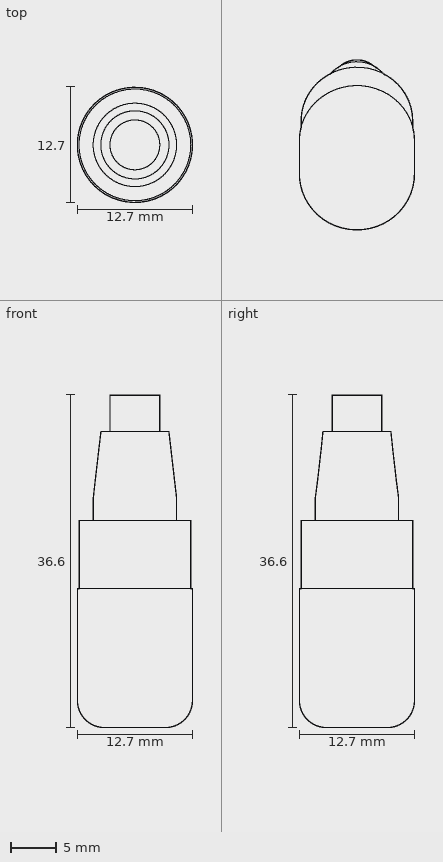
import cadquery as cq

CAP_TOP = 15.3
SHOULDER_TOP = 22.8
COLLAR_TOP = 25.33
TAPER_TOP = 32.6
TOTAL_HEIGHT = 36.6

CAP_RADIUS = 12.7 / 2
SHOULDER_RADIUS = 12.3 / 2
COLLAR_RADIUS = 9.2 / 2
TAPER_TOP_RADIUS = 7.5 / 2
STEM_RADIUS = 5.5 / 2

END_FILLET = 3.0


def make_cap():
    """Cylindrical cap with a rounded bottom end."""
    return cq.Workplane("XY").circle(CAP_RADIUS).extrude(CAP_TOP).faces("<Z").edges().fillet(END_FILLET)


def make_plug():
    """Stepped plug standing on the cap: shoulder, collar, taper and stem."""
    half_profile = [
        (0, CAP_TOP),
        (SHOULDER_RADIUS, CAP_TOP),
        (SHOULDER_RADIUS, SHOULDER_TOP),
        (COLLAR_RADIUS, SHOULDER_TOP),
        (COLLAR_RADIUS, COLLAR_TOP),
        (TAPER_TOP_RADIUS, TAPER_TOP),
        (STEM_RADIUS, TAPER_TOP),
        (STEM_RADIUS, TOTAL_HEIGHT),
        (0, TOTAL_HEIGHT),
    ]
    return cq.Workplane("XZ").polyline(half_profile).close().revolve(360, (0, 0), (0, 1))


cap = make_cap()
plug = make_plug()

result = cq.Compound.makeCompound([cap.val(), plug.val()])